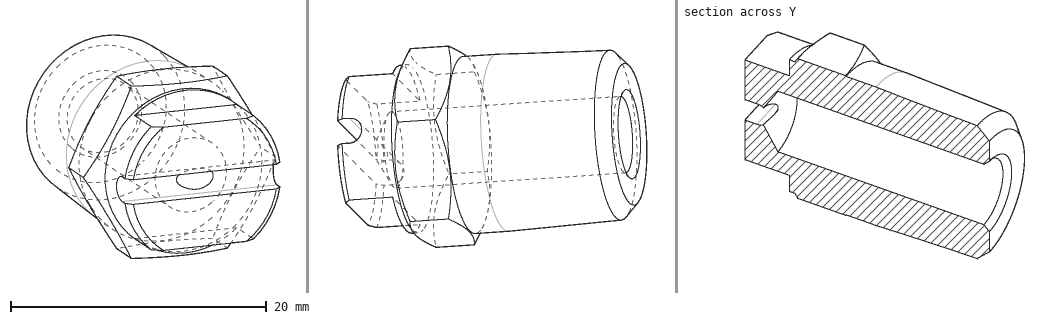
import cadquery as cq
import math

length = 22.0
cone_end = 10.2
hex_start = 12.9
hex_end = 17.5
flats_start = 18.0

collar_diameter = 13.9
thread_taper = 1 / 16
inlet_face_diameter = 11.1
inlet_chamfer_length = 1.1
cone_small_diameter = collar_diameter - thread_taper * (cone_end - inlet_chamfer_length)

hex_across_flats = 14.0
hex_across_corners = hex_across_flats / math.cos(math.radians(30))
hex_chamfer_slope = math.tan(math.radians(30))

head_diameter = 13.2
head_chamfer = 0.5
head_across_flats = 10.0

bore_diameter = 6.0
bore_chamfer = 0.5
drill_half_angle = math.radians(59)
drill_tip = 20.83

slot_width = 2.0
slot_depth = 2.1


def revolve_profile(points):
    """Revolve a closed outline of (axial position, radius) points about X."""
    return cq.Workplane("XY").polyline(points).close().revolve(360, (0, 0, 0), (1, 0, 0))


def make_inlet():
    """Chamfered, tapered inlet end followed by a straight collar."""
    return revolve_profile([
        (0, 0),
        (0, inlet_face_diameter / 2),
        (inlet_chamfer_length, cone_small_diameter / 2),
        (cone_end, collar_diameter / 2),
        (hex_start, collar_diameter / 2),
        (hex_start, 0),
    ])


def make_hexagon():
    """Hexagon with flats facing +/-Z and its corners turned off at both ends."""
    prism = (
        cq.Workplane("YZ", origin=(hex_start, 0, 0))
        .polygon(6, hex_across_corners)
        .extrude(hex_end - hex_start)
    )
    corner_radius = hex_across_corners / 2
    collar_radius = collar_diameter / 2
    head_radius = head_diameter / 2
    turned_envelope = revolve_profile([
        (hex_start, 0),
        (hex_start, collar_radius),
        (hex_start + (corner_radius - collar_radius) * hex_chamfer_slope, corner_radius),
        (hex_end - (corner_radius - head_radius) * hex_chamfer_slope, corner_radius),
        (hex_end, head_radius),
        (hex_end, 0),
    ])
    return prism.intersect(turned_envelope)


def make_head():
    """Round, chamfered head with two flats facing +/-Z."""
    head = (
        cq.Workplane("YZ", origin=(hex_end, 0, 0))
        .circle(head_diameter / 2)
        .extrude(length - hex_end)
        .faces(">X")
        .chamfer(head_chamfer)
    )
    shoulder = (
        cq.Workplane("YZ", origin=(hex_end, 0, 0))
        .circle(head_diameter / 2)
        .extrude(flats_start - hex_end)
    )
    flats_block = (
        cq.Workplane("YZ", origin=(flats_start, 0, 0))
        .rect(head_diameter, head_across_flats)
        .extrude(length - flats_start)
    )
    return head.intersect(shoulder.union(flats_block))


def make_bore():
    """Countersunk bore ending in a drill point."""
    bore_radius = bore_diameter / 2
    return revolve_profile([
        (0, 0),
        (0, bore_radius + bore_chamfer),
        (bore_chamfer, bore_radius),
        (drill_tip - bore_radius / math.tan(drill_half_angle), bore_radius),
        (drill_tip, 0),
    ])


def make_slot():
    """Round-bottomed slot across the outlet face, opening into the bore tip."""
    slot_radius = slot_width / 2
    slot_bottom = length - slot_depth
    straight_start = slot_bottom + slot_radius
    return (
        cq.Workplane("XZ")
        .moveTo(length, slot_radius)
        .lineTo(straight_start, slot_radius)
        .threePointArc((slot_bottom, 0), (straight_start, -slot_radius))
        .lineTo(length, -slot_radius)
        .close()
        .extrude(head_diameter / 2, both=True)
    )


body = make_inlet().union(make_hexagon()).union(make_head())
result = body.cut(make_bore()).cut(make_slot())